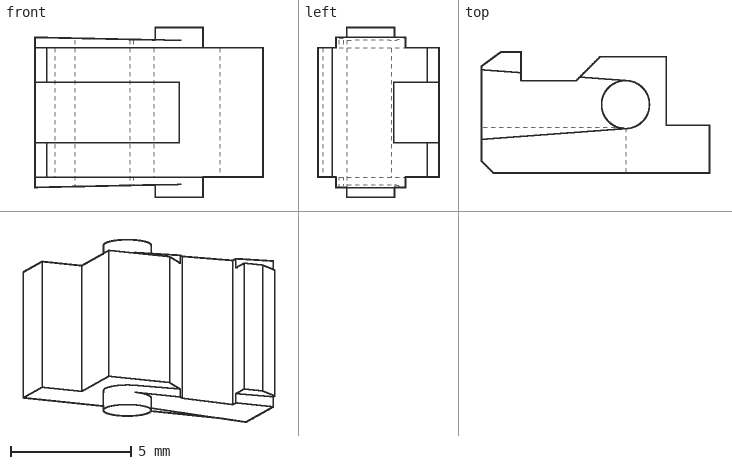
import cadquery as cq
import math

body_length = 9.5
body_height = 5.05
body_width = 5.4
nose_chamfer = 0.5
toe_height = 2.0
toe_length = 1.8
block_height = 4.85
block_start = 4.95
block_ramp = 1.0
hook_length = 1.65
hook_bevel_length = 0.82
hook_bevel_height = 0.6

slot_length = 6.0
slot_width = 2.52
slot_depth = 1.9

pin_diameter = 2.0
pin_length = 7.08
pin_x = 6.0
pin_y = 2.85

cheek_bottom = 1.4
cheek_top = 4.3
cheek_nose_rise = 0.43
cheek_pin_rise = 0.3

pin_radius = pin_diameter / 2
half_width = body_width / 2
block_end = body_length - toe_length
notch_floor = block_height - block_ramp


def tangent_point(start_y, side):
    """Point where a line from the nose at start_y touches the pin; side is +1 above, -1 below."""
    rise = start_y - pin_y
    distance = math.hypot(pin_x, rise)
    angle = math.atan2(rise, -pin_x) - side * math.acos(pin_radius / distance)
    return pin_x + pin_radius * math.cos(angle), pin_y + pin_radius * math.sin(angle)


def side_profile():
    return (
        cq.Workplane("XY", origin=(0, 0, -pin_length / 2))
        .moveTo(nose_chamfer, 0)
        .lineTo(body_length, 0)
        .lineTo(body_length, toe_height)
        .lineTo(block_end, toe_height)
        .lineTo(block_end, block_height)
        .lineTo(block_start, block_height)
        .lineTo(block_start - block_ramp, notch_floor)
        .lineTo(hook_length, notch_floor)
        .lineTo(hook_length, body_height)
        .lineTo(hook_bevel_length, body_height)
        .lineTo(0, body_height - hook_bevel_height)
        .lineTo(0, nose_chamfer)
        .close()
        .extrude(pin_length)
    )


def make_body():
    body_band = cq.Workplane("XY").box(body_length, body_height, body_width, centered=(False, False, True))
    return side_profile().intersect(body_band)


def make_cheeks():
    """Both cheeks as one core: the outline seen along Z, cut to the taper and to the side profile."""
    lower_touch = tangent_point(cheek_bottom, -1)
    upper_touch = tangent_point(cheek_top, 1)
    outline = (
        cq.Workplane("XY", origin=(0, 0, -pin_length / 2))
        .moveTo(0, cheek_bottom)
        .lineTo(*lower_touch)
        .threePointArc((pin_x + pin_radius, pin_y), upper_touch)
        .lineTo(0, cheek_top)
        .close()
        .extrude(pin_length)
    )
    taper_end = lower_touch[0]
    nose_z = half_width + cheek_nose_rise
    end_z = half_width + cheek_pin_rise
    taper = (
        cq.Workplane("XZ")
        .polyline([(0, -nose_z), (taper_end, -end_z), (taper_end, end_z), (0, nose_z)])
        .close()
        .extrude(-body_height)
    )
    return outline.intersect(taper).intersect(side_profile())


def make_pin():
    return (
        cq.Workplane("XY", origin=(pin_x, pin_y, -pin_length / 2))
        .circle(pin_radius)
        .extrude(pin_length)
    )


def make_slot():
    return cq.Workplane("XY").box(slot_length, slot_depth, slot_width, centered=(False, False, True))


result = make_body().union(make_cheeks()).union(make_pin()).cut(make_slot())